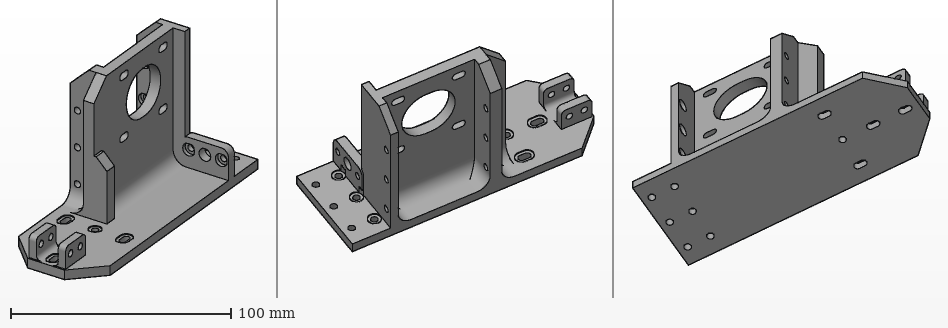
import cadquery as cq
import math


plate_width = 50.0
plate_length = 136.0
plate_thickness = 5.0
front_corner_x = 15.0
front_corner_y = 15.0
half_width = plate_width / 2

screw_diameter = 3.4
head_diameter = 6.4
slide = 3.0
head_recess = 2.0
plate_head_recess = 0.5
side_column_x = 16.0
plain_row_y = 131.1
rear_row_y = 119.1
front_row_y = 40.1
centre_slots_y = (24.0, 7.1)
head_clearance_top = 8.5

overall_height = 75.0
wall_left = -10.9
wall_right = -5.2
wall_front = 46.9
wall_rear = 115.9
rear_flange_thickness = 4.1
rear_flange_right = 1.2
front_flange_front = 57.3
front_flange_rear = 63.4
bevel_run = 10.3
bevel_drop = 9.8
root_radius = 7.0
pocket_rear = wall_rear - rear_flange_thickness

gusset_depth = 6.3
gusset_right = 1.9
gusset_top = 38.1
gusset_bevel = 5.8

flange_hole_inset = 4.0
flange_hole_x = flange_hole_inset - half_width
flange_hole_bottom = 14.0
flange_hole_pitch = 19.0
flange_hole_count = 3
flange_head_diameter = 6.0

motor_y = 87.6
motor_z = 52.6
motor_bore = 25.0
motor_pitch = 32.0
motor_screw = 3.8

tab_left = -1.0
tab_rear = 116.7
tab_top = 20.8
tab_radius = 4.0
tab_hole_z = 14.4
tab_hole_x = (3.3, 21.1)

clevis_outer = 10.0
clevis_inner = 6.0
clevis_front = 1.0
clevis_rear = 17.1
clevis_top = 16.5
clevis_radius = 2.5
clevis_hole_y = (5.0, 12.9)
clevis_hole_z = 11.4


def box(x0, x1, y0, y1, z0, z1):
    """Block spanning the given limits."""
    return cq.Workplane("XY").box(x1 - x0, y1 - y0, z1 - z0, centered=False).translate((x0, y0, z0))


def upright_hole(x, y, diameter, bottom, top, travel=0.0):
    """Cutter along Z, lengthened in Y into a slot when travel is given."""
    plane = cq.Workplane("XY", origin=(x, y, bottom))
    if travel:
        return plane.slot2D(diameter + travel, diameter, 90).extrude(top - bottom)
    return plane.circle(diameter / 2).extrude(top - bottom)


def hole_along_y(x, z, diameter, front, rear):
    """Round cutter along Y."""
    return cq.Workplane("XZ", origin=(x, front, z)).circle(diameter / 2).extrude(front - rear)


def slot_through_wall(y, z, diameter):
    """Slot cutter along X, long in Y, passing through the motor wall."""
    plane = cq.Workplane("YZ", origin=(wall_left, y, z))
    return plane.slot2D(diameter + slide, diameter).extrude(wall_right - wall_left)


def root_section(plane, corner, side, radius):
    """Concave fillet section between the plate and a face that rises at the corner."""
    mid = radius * (1 - math.sqrt(0.5))
    return (
        plane.moveTo(corner, plate_thickness)
        .lineTo(corner + side * radius, plate_thickness)
        .threePointArc(
            (corner + side * mid, plate_thickness + mid),
            (corner, plate_thickness + radius),
        )
        .close()
    )


def root_along_y(x, side, y0, y1, radius):
    """Concave fillet running along Y."""
    return root_section(cq.Workplane("XZ", origin=(0, y0, 0)), x, side, radius).extrude(y0 - y1)


def root_along_x(y, side, x0, x1):
    """Concave fillet running along X at the foot of a flange."""
    return root_section(cq.Workplane("YZ", origin=(x0, 0, 0)), y, side, root_radius).extrude(x1 - x0)


def base_plate():
    plate = box(-half_width, half_width, 0, plate_length, 0, plate_thickness)
    for side in (-1, 1):
        corner = (
            cq.Workplane("XY")
            .moveTo(side * half_width, 0)
            .lineTo(side * (half_width - front_corner_x), 0)
            .lineTo(side * half_width, front_corner_y)
            .close()
            .extrude(plate_thickness)
        )
        plate = plate.cut(corner)
    return plate


def motor_wall():
    bevel_bottom = overall_height - bevel_drop
    return (
        cq.Workplane("YZ", origin=(wall_left, 0, 0))
        .moveTo(wall_front, 0)
        .lineTo(wall_rear, 0)
        .lineTo(wall_rear, overall_height)
        .lineTo(wall_front + bevel_run, overall_height)
        .lineTo(wall_front, bevel_bottom)
        .close()
        .extrude(wall_right - wall_left)
    )


def flange(front, rear, right):
    """Cross wall with a bevelled outer top corner."""
    return (
        cq.Workplane("XZ", origin=(0, front, 0))
        .moveTo(-half_width, 0)
        .lineTo(right, 0)
        .lineTo(right, overall_height)
        .lineTo(bevel_run - half_width, overall_height)
        .lineTo(-half_width, overall_height - bevel_drop)
        .close()
        .extrude(front - rear)
    )


def gusset():
    return (
        cq.Workplane("XZ", origin=(0, wall_front, 0))
        .moveTo(wall_left, 0)
        .lineTo(gusset_right, 0)
        .lineTo(gusset_right, gusset_top - gusset_bevel)
        .lineTo(gusset_right - gusset_bevel, gusset_top)
        .lineTo(wall_left, gusset_top)
        .close()
        .extrude(-gusset_depth)
    )


def sensor_tab():
    tab = box(tab_left, half_width, pocket_rear, tab_rear, 0, tab_top)
    return tab.edges("|Y and >Z").fillet(tab_radius)


def clevis_ear(side):
    inner = side * clevis_inner
    outer = side * clevis_outer
    ear = box(min(inner, outer), max(inner, outer), clevis_front, clevis_rear, 0, clevis_top)
    ear = ear.edges("|X and >Z").fillet(clevis_radius)
    return ear.union(root_along_y(inner, -side, clevis_front, clevis_rear, clevis_radius))


def plate_holes():
    seat = plate_thickness - plate_head_recess
    cutters = []
    for x in (-side_column_x, 0, side_column_x):
        cutters.append(upright_hole(x, plain_row_y, screw_diameter, 0, plate_thickness))
        cutters.append(upright_hole(x, rear_row_y, screw_diameter, 0, plate_thickness))
        cutters.append(upright_hole(x, rear_row_y, head_diameter, seat, head_clearance_top))
    slots = [(-side_column_x, front_row_y), (side_column_x, front_row_y)]
    slots += [(0, y) for y in centre_slots_y]
    for x, y in slots:
        cutters.append(upright_hole(x, y, screw_diameter, 0, plate_thickness, slide))
        cutters.append(upright_hole(x, y, head_diameter, seat, head_clearance_top, slide))
    cutters.append(upright_hole(0, front_row_y, screw_diameter, 0, plate_thickness))
    cutters.append(upright_hole(0, front_row_y, head_diameter, seat, head_clearance_top))
    return cutters


def flange_holes():
    cutters = []
    for index in range(flange_hole_count):
        z = flange_hole_bottom + index * flange_hole_pitch
        cutters.append(hole_along_y(flange_hole_x, z, screw_diameter, front_flange_front, wall_rear))
        recess_front = pocket_rear - root_radius
        recess_rear = pocket_rear + head_recess
        cutters.append(hole_along_y(flange_hole_x, z, flange_head_diameter, recess_front, recess_rear))
    return cutters


def motor_openings():
    cutters = [slot_through_wall(motor_y, motor_z, motor_bore)]
    for side_y in (-0.5, 0.5):
        for side_z in (-0.5, 0.5):
            y = motor_y + side_y * motor_pitch
            z = motor_z + side_z * motor_pitch
            cutters.append(slot_through_wall(y, z, motor_screw))
    return cutters


def tab_holes():
    """Two recessed screw holes with a larger plain opening midway between them."""
    cutters = []
    for x in tab_hole_x:
        cutters.append(hole_along_y(x, tab_hole_z, screw_diameter, pocket_rear, tab_rear))
        cutters.append(hole_along_y(x, tab_hole_z, head_diameter, pocket_rear, pocket_rear + head_recess))
    cutters.append(hole_along_y(sum(tab_hole_x) / 2, tab_hole_z, head_diameter, pocket_rear, tab_rear))
    return cutters


def clevis_holes():
    cutters = []
    for y in clevis_hole_y:
        plane = cq.Workplane("YZ", origin=(-clevis_outer, y, clevis_hole_z))
        cutters.append(plane.circle(screw_diameter / 2).extrude(2 * clevis_outer))
    return cutters


solids = [
    motor_wall(),
    flange(pocket_rear, wall_rear, rear_flange_right),
    flange(front_flange_front, front_flange_rear, wall_right),
    gusset(),
    sensor_tab(),
    clevis_ear(-1),
    clevis_ear(1),
    root_along_y(wall_left, -1, wall_front, pocket_rear, root_radius),
    root_along_y(wall_right, 1, wall_front, pocket_rear, root_radius),
    root_along_x(pocket_rear, -1, -half_width, wall_left),
    root_along_x(front_flange_rear, 1, -half_width, wall_left),
    root_along_x(front_flange_front, -1, -half_width, wall_left),
]

result = base_plate()
for solid in solids:
    result = result.union(solid)
for cutter in plate_holes() + flange_holes() + motor_openings() + tab_holes() + clevis_holes():
    result = result.cut(cutter)